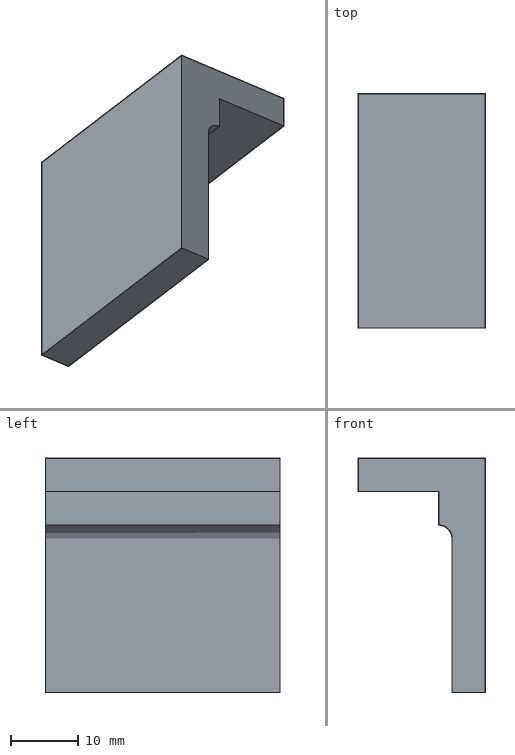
import cadquery as cq
import math

length = 35.0
height = 35.0
width = 19.0
wall = 5.0
step_height = 5.0
cove_radius = 2.0

plate_x = width - wall
step_x = plate_x - cove_radius
flange_bottom = height - wall
step_bottom = flange_bottom - step_height
cove_bottom = step_bottom - cove_radius

cove_mid = (
    step_x + cove_radius * math.cos(math.pi / 4),
    cove_bottom + cove_radius * math.sin(math.pi / 4),
)

result = (
    cq.Workplane("XZ")
    .moveTo(width, 0)
    .lineTo(width, height)
    .lineTo(0, height)
    .lineTo(0, flange_bottom)
    .lineTo(step_x, flange_bottom)
    .lineTo(step_x, step_bottom)
    .threePointArc(cove_mid, (plate_x, cove_bottom))
    .lineTo(plate_x, 0)
    .close()
    .extrude(-length)
)